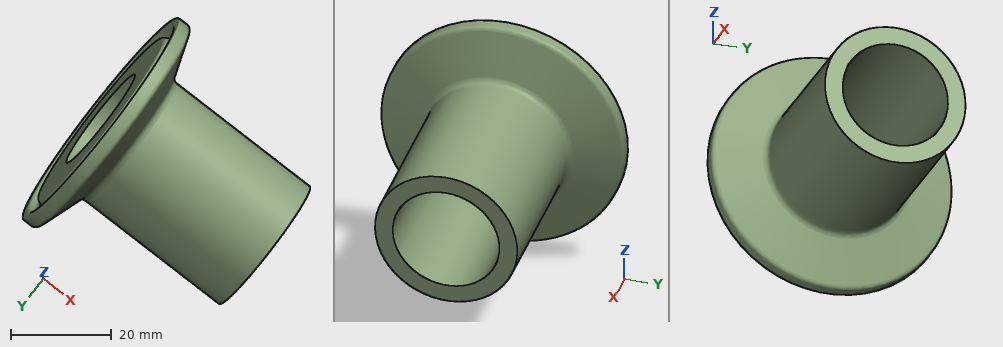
import cadquery as cq
import math

length = 41.3
flange_radius = 50.5 / 2
tube_radius = 29.5 / 2
bore_radius = 22.1 / 2

rim_width = 2.85
cone_angle = math.radians(20)
face_edge_fillet = 0.2
back_edge_fillet = 1.0
neck_fillet = 1.5
neck_x = rim_width + (flange_radius - tube_radius) * math.tan(cone_angle)

groove_centre_radius = 43.6 / 2
groove_bottom_fillet = 1.2
groove_lip_fillet = 0.85
groove_wall_angle = math.radians(25)
groove_wall_width = 0.15


def body():
    """Flange, cone and tube as one turned blank, with the bore through it."""
    profile = (
        cq.Workplane("XZ")
        .moveTo(0, bore_radius)
        .lineTo(0, flange_radius)
        .lineTo(rim_width, flange_radius)
        .lineTo(neck_x, tube_radius)
        .lineTo(length, tube_radius)
        .lineTo(length, bore_radius)
        .close()
    )
    return profile.revolve(360, (0, 0, 0), (1, 0, 0))


def fillet_circle(part, x, radius, fillet):
    """Round the outer circular edge, of the given radius, in the plane at x."""
    margin = 0.05
    reach = radius + margin
    near_plane = cq.selectors.BoxSelector(
        (x - margin, -reach, -reach),
        (x + margin, reach, reach),
        boundingbox=True,
    )
    circles = part.edges("%CIRCLE").edges(near_plane)
    outer_circle = circles.edges(cq.selectors.RadiusNthSelector(-1))
    return outer_circle.fillet(fillet)


def groove_cutter():
    """Ring that removes the gasket groove from the sealing face."""
    across = math.cos(groove_wall_angle)
    along = 1 - math.sin(groove_wall_angle)
    half_angle = (math.pi / 2 - groove_wall_angle) / 2

    bottom_half = groove_bottom_fillet * across
    wall_half = bottom_half + groove_wall_width
    lip_half = wall_half + groove_lip_fillet * across
    wall_depth = groove_lip_fillet * along
    bottom_depth = wall_depth + groove_wall_width / math.tan(groove_wall_angle)
    depth = bottom_depth + groove_bottom_fillet * along

    lip_mid_half = lip_half - groove_lip_fillet * math.sin(half_angle)
    lip_mid_depth = groove_lip_fillet * (1 - math.cos(half_angle))

    centre = groove_centre_radius
    profile = (
        cq.Workplane("XZ")
        .moveTo(0, centre - lip_half)
        .threePointArc((lip_mid_depth, centre - lip_mid_half), (wall_depth, centre - wall_half))
        .lineTo(bottom_depth, centre - bottom_half)
        .threePointArc((depth, centre), (bottom_depth, centre + bottom_half))
        .lineTo(wall_depth, centre + wall_half)
        .threePointArc((lip_mid_depth, centre + lip_mid_half), (0, centre + lip_half))
        .close()
    )
    return profile.revolve(360, (0, 0, 0), (1, 0, 0))


blank = body()
blank = fillet_circle(blank, 0, flange_radius, face_edge_fillet)
blank = fillet_circle(blank, rim_width, flange_radius, back_edge_fillet)
blank = fillet_circle(blank, neck_x, tube_radius, neck_fillet)
result = blank.cut(groove_cutter())